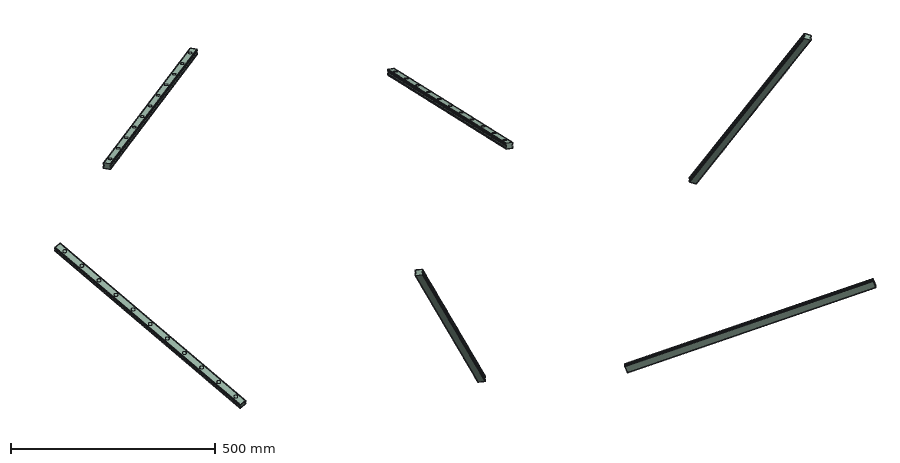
import cadquery as cq

LENGTH = 650.0
WIDTH = 20.0
HEIGHT = 15.5

TOP_CHAMFER = 1.6
BOTTOM_CHAMFER = 1.2
NECK_HALF_WIDTH = 7.7
LOWER_LIP_HEIGHT = 4.5
LOWER_LIP_RELIEF = 0.55
LOWER_LIP_RISE = 1.0
UPPER_LIP_HEIGHT = 12.0
UPPER_LIP_TAPER = 0.1
UPPER_LIP_TIP_HEIGHT = 11.2
UPPER_LIP_RELIEF = 0.9
UPPER_LIP_DROP = 0.9

RECESS_COUNT = 11
RECESS_PITCH = 60.0
RECESS_DIAMETER = 9.5
RECESS_DEPTH = 0.1


def rail_body():
    """Symmetric section with a chamfered head and base and 45 degree flanks into the neck."""
    half = WIDTH / 2
    neck = NECK_HALF_WIDTH

    lower_flank = half - LOWER_LIP_RELIEF
    lower_flank_height = LOWER_LIP_HEIGHT + LOWER_LIP_RISE
    neck_bottom = lower_flank_height + (lower_flank - neck)

    upper_flank = half - UPPER_LIP_RELIEF
    upper_flank_height = UPPER_LIP_TIP_HEIGHT - UPPER_LIP_DROP
    neck_top = upper_flank_height - (upper_flank - neck)

    right_side = [
        (half - BOTTOM_CHAMFER, 0),
        (half, BOTTOM_CHAMFER),
        (half, LOWER_LIP_HEIGHT),
        (lower_flank, lower_flank_height),
        (neck, neck_bottom),
        (neck, neck_top),
        (upper_flank, upper_flank_height),
        (half - UPPER_LIP_TAPER, UPPER_LIP_TIP_HEIGHT),
        (half, UPPER_LIP_HEIGHT),
        (half, HEIGHT - TOP_CHAMFER),
        (half - TOP_CHAMFER, HEIGHT),
    ]
    left_side = [(-x, z) for x, z in reversed(right_side)]
    section = cq.Workplane("XZ").polyline(right_side + left_side).close()
    return section.extrude(LENGTH / 2, both=True)


def mounting_recesses():
    """Row of round flat-bottomed recesses, centred along the rail."""
    return (
        cq.Workplane("XY", origin=(0, 0, HEIGHT - RECESS_DEPTH))
        .rarray(1, RECESS_PITCH, 1, RECESS_COUNT)
        .circle(RECESS_DIAMETER / 2)
        .extrude(RECESS_DEPTH)
    )


result = rail_body().cut(mounting_recesses())